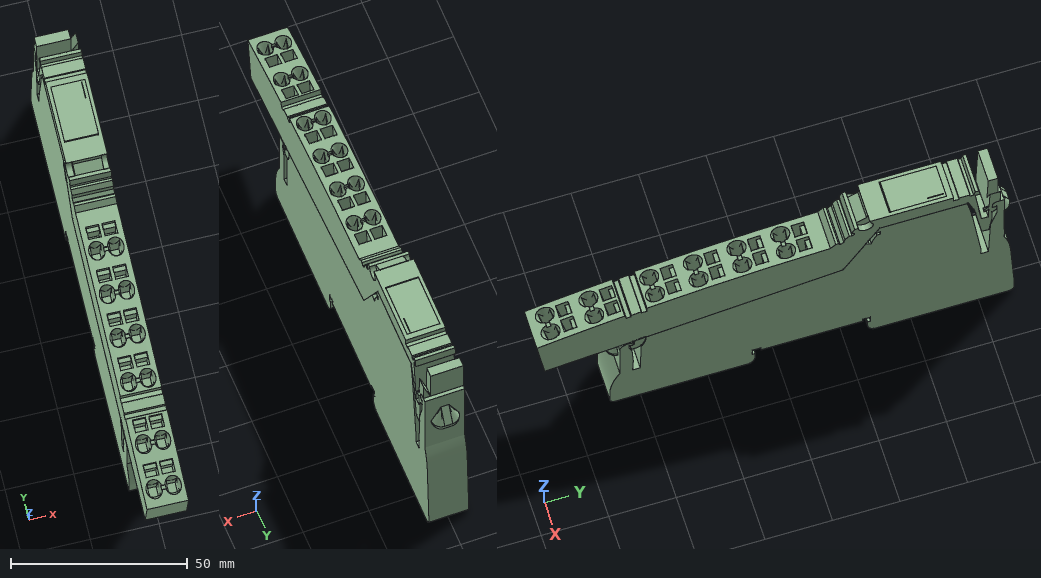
import cadquery as cq
import math


WIDTH = 12.15
LENGTH = 141.41
HEIGHT = 70.43
SIDE_PLANE = cq.Plane(origin=(0, 0, 0), xDir=(0, -1, 0), normal=(-1, 0, 0))

SEAM_TOP = 64.3
SEAM_REAR = (14.0, SEAM_TOP)
SEAM_CORNER = (39.9, SEAM_TOP)
SEAM_KNEE = (50.75, 43.9)
PLUG_NOSE_BOTTOM = (139.1, 32.3)
SEAM_SLOPE = (PLUG_NOSE_BOTTOM[1] - SEAM_KNEE[1]) / (PLUG_NOSE_BOTTOM[0] - SEAM_KNEE[0])

REAR_WALL = 3.0
FRONT_WALL = 116.8
FOOT_FRONT = 119.8
FOOT_ROUND = 2.0
RAIL_ROOF = 6.8
RAIL_GROOVE_ROOF = 8.1
RAIL_LIP = 5.6

REAR_HOOK_TOP = 60.1
REAR_HOOK_CREST = (5.2, REAR_HOOK_TOP)
REAR_HOOK_ROUND = (6.2, 59.5)
REAR_HOOK_NOSE = (6.55, 58.4)
REAR_HOOK_TIP = (6.55, 57.2)
REAR_HOOK_ROOT = (5.2, 57.2)

CATCH_START = 109.05
CATCH_ROUND = (109.5, 33.1)
CATCH_END = (110.5, 31.0)
CATCH_WIDTH = WIDTH - 0.6
CATCH_OVERLAP = 1.0

KNOB_RADIUS = 3.0
KNOB_FLAT_WIDTH = 2.4
KNOB_HEIGHT = 8.7
KNOB_WIDEST = 3.0
REAR_KNOB_BOTTOM = 45.9
FRONT_KNOB_BOTTOM = 23.4

FLAT_TOP_FRONT = 42.8
REAR_GROUP_END = 108.8
FRONT_GROUP_START = 115.4
FACE_START = (54.5, 60.1)
FACE_DROP = 0.0436
FACE_CURVE = 0.000994

LABEL_WIDTH = 9.9
LABEL_LENGTH = 16.6
LABEL_THICKNESS = 0.8
LABEL_REAR = 19.75
LABEL_GAP = 0.25
LABEL_GROOVE_X = 3.9
LABEL_GROOVE_WIDTH = 0.1
LABEL_GROOVE_LENGTH = 4.7
LABEL_GROOVE_DEPTH = 0.2
LABEL_GROOVE_MARGIN = 0.6

THUMB_RECESS_DEPTH = 1.9

LEVER_REAR = 4.15
LEVER_FRONT_TOP = 7.1
LEVER_FRONT_FOOT = 7.75
NOTCH_FLOOR = 51.9
LEVER_SIDE = 3.9
BEVEL_RISE = 6.0
BEVEL_REACH = 9.5
BARB_BEVEL_START = 53.0

FIRST_TERMINAL = 66.6
TERMINAL_PITCH = 12.93
REAR_TERMINALS = 4
GROUP_SPACING = 18.0
FRONT_TERMINALS = 2
WIRE_ENTRY_X = 2.75
WIRE_ENTRY_WIDTH = 4.6
WIRE_ENTRY_LENGTH = 5.5
WIRE_FUNNEL_DEPTH = 4.0
WIRE_HOLE_WIDTH = 3.0
WIRE_HOLE_LENGTH = 3.6
WIRE_HOLE_DEPTH = 11.0
WIRE_LINK_LENGTH = 1.2
WIRE_LINK_DEPTH = 1.0
TOOL_SLOT_X = 2.37
TOOL_SLOT_OFFSET = 5.55
TOOL_SLOT_WIDTH = 3.7
TOOL_SLOT_LENGTH = 3.7
TOOL_SLOT_DEPTH = 8.0
TOOL_LEDGE_LENGTH = 1.3
TOOL_LEDGE_DEPTH = 2.0
FACE_CLEARANCE = 1.0


def seam_height(forward):
    """Height of the sloping seam under the connector."""
    return SEAM_KNEE[1] + SEAM_SLOPE * (forward - SEAM_KNEE[0])


def rear_slope_point(height):
    """Point of the steep seam that drops from the connector's raised rear part."""
    fraction = (SEAM_TOP - height) / (SEAM_TOP - SEAM_KNEE[1])
    return (SEAM_CORNER[0] + fraction * (SEAM_KNEE[0] - SEAM_CORNER[0]), height)


def face_height(forward):
    """Height of the curved terminal face."""
    run = forward - FACE_START[0]
    return FACE_START[1] - FACE_DROP * run - FACE_CURVE * run ** 2


def face_slope_angle(forward):
    """Downward tilt of the terminal face, in degrees."""
    run = forward - FACE_START[0]
    return math.degrees(math.atan(FACE_DROP + 2 * FACE_CURVE * run))


def face_point(forward):
    return (forward, face_height(forward))


def seam_point(forward):
    return (forward, seam_height(forward))


def face_arc(outline, start, end):
    """Continue an outline along the terminal face from start to end."""
    return outline.threePointArc(face_point((start + end) / 2), face_point(end))


def full_width(outline):
    return outline.close().extrude(WIDTH / 2, both=True)


def knob(wall, bottom):
    """Teardrop knob: two rounded cones joined by a flat strip, half sunk in the wall."""
    bottom_edge = KNOB_RADIUS / 2
    run = KNOB_RADIUS - bottom_edge
    curve_radius = (run ** 2 + KNOB_WIDEST ** 2) / (2 * run)
    half_angle = math.asin(KNOB_WIDEST / curve_radius) / 2
    bulge_out = KNOB_RADIUS - curve_radius * (1 - math.cos(half_angle))
    bulge_up = KNOB_WIDEST - curve_radius * math.sin(half_angle)
    half = (
        cq.Workplane("XZ")
        .lineTo(bottom_edge, 0)
        .threePointArc((bulge_out, bulge_up), (KNOB_RADIUS, KNOB_WIDEST))
        .lineTo(0, KNOB_HEIGHT)
        .close()
    )
    cone = half.revolve(360, (0, 0, 0), (0, 1, 0))
    strip = (
        cq.Workplane(SIDE_PLANE)
        .moveTo(-bottom_edge, 0)
        .lineTo(bottom_edge, 0)
        .threePointArc((bulge_out, bulge_up), (KNOB_RADIUS, KNOB_WIDEST))
        .lineTo(0, KNOB_HEIGHT)
        .lineTo(-KNOB_RADIUS, KNOB_WIDEST)
        .threePointArc((-bulge_out, bulge_up), (-bottom_edge, 0))
        .close()
        .extrude(KNOB_FLAT_WIDTH / 2, both=True)
    )
    offset = KNOB_FLAT_WIDTH / 2
    whole = strip.union(cone.translate((-offset, 0, 0))).union(cone.translate((offset, 0, 0)))
    return whole.translate((0, -wall, bottom))


def make_housing():
    outline = (
        cq.Workplane(SIDE_PLANE)
        .moveTo(FOOT_ROUND, 0)
        .radiusArc((0, FOOT_ROUND), FOOT_ROUND)
        .lineTo(0, 5.0)
        .lineTo(1.1, 27.0)
        .tangentArcPoint((REAR_WALL, 36.0), relative=False)
        .lineTo(REAR_WALL, REAR_HOOK_TOP)
        .lineTo(*REAR_HOOK_CREST)
        .threePointArc(REAR_HOOK_ROUND, REAR_HOOK_NOSE)
        .lineTo(*REAR_HOOK_TIP)
        .lineTo(*REAR_HOOK_ROOT)
        .lineTo(5.2, 53.1)
        .lineTo(7.1, 46.5)
        .lineTo(7.7, 29.3)
        .lineTo(9.9, 29.3)
        .lineTo(9.9, 32.0)
        .lineTo(12.8, 58.0)
        .lineTo(*SEAM_REAR)
        .lineTo(*SEAM_CORNER)
        .lineTo(*rear_slope_point(61.7))
        .lineTo(39.6, 61.7)
        .lineTo(39.8, 60.3)
        .lineTo(40.7, 60.3)
        .lineTo(41.9, 57.8)
        .lineTo(42.4, 55.8)
        .lineTo(43.0, 55.8)
        .lineTo(*rear_slope_point(56.5))
        .lineTo(*SEAM_KNEE)
        .lineTo(*seam_point(CATCH_START))
        .threePointArc(CATCH_ROUND, CATCH_END)
        .lineTo(110.8, 17.3)
        .lineTo(113.0, 17.3)
        .lineTo(112.85, 23.0)
        .lineTo(113.2, 29.7)
        .lineTo(114.1, 32.3)
        .lineTo(114.1, 33.4)
        .lineTo(112.9, 33.4)
        .lineTo(112.9, 34.6)
        .threePointArc((115.0, 34.9), (FRONT_WALL, 32.0))
        .lineTo(FRONT_WALL, 17.4)
        .threePointArc((119.0, 12.2), (FOOT_FRONT, 6.5))
        .lineTo(FOOT_FRONT, FOOT_ROUND)
        .radiusArc((FOOT_FRONT - FOOT_ROUND, 0), FOOT_ROUND)
        .lineTo(78.4, 0)
        .threePointArc((77.2, 1.4), (76.7, 3.4))
        .lineTo(76.7, RAIL_LIP)
        .lineTo(77.6, RAIL_LIP)
        .lineTo(77.6, RAIL_GROOVE_ROOF)
        .lineTo(75.0, RAIL_GROOVE_ROOF)
        .lineTo(75.0, RAIL_ROOF)
        .lineTo(44.9, RAIL_ROOF)
        .lineTo(44.9, RAIL_GROOVE_ROOF)
        .lineTo(42.6, RAIL_GROOVE_ROOF)
        .lineTo(42.6, RAIL_LIP)
        .lineTo(43.5, RAIL_LIP)
        .lineTo(43.5, 3.4)
        .threePointArc((43.0, 1.4), (41.7, 0))
    )
    body = full_width(outline)
    body = body.union(knob(REAR_WALL, REAR_KNOB_BOTTOM))
    return body.union(knob(FRONT_WALL, FRONT_KNOB_BOTTOM))


def make_connector_blank():
    outline = (
        cq.Workplane(SIDE_PLANE)
        .moveTo(LEVER_REAR, REAR_HOOK_TOP)
        .lineTo(LEVER_REAR, HEIGHT)
        .lineTo(LEVER_FRONT_TOP, HEIGHT)
        .lineTo(LEVER_FRONT_FOOT, NOTCH_FLOOR)
        .lineTo(9.75, NOTCH_FLOOR)
        .lineTo(11.6, 68.1)
        .lineTo(10.1, 68.1)
        .lineTo(10.6, HEIGHT)
        .lineTo(11.6, HEIGHT)
        .lineTo(12.1, 68.6)
        .lineTo(13.1, 68.6)
        .lineTo(13.1, 69.4)
        .lineTo(16.4, 69.4)
        .lineTo(16.4, 68.6)
        .lineTo(18.0, 68.6)
        .lineTo(18.0, HEIGHT)
        .lineTo(FLAT_TOP_FRONT, HEIGHT)
        .lineTo(43.2, 69.5)
        .lineTo(46.2, 68.0)
        .lineTo(47.3, 68.0)
        .lineTo(48.2, 66.1)
        .lineTo(47.3, 65.1)
        .lineTo(48.1, 64.3)
        .lineTo(48.9, 64.6)
        .lineTo(50.2, 63.2)
        .lineTo(50.5, 61.6)
        .lineTo(51.6, 60.8)
        .lineTo(52.1, 61.7)
        .lineTo(52.9, 61.7)
        .lineTo(*FACE_START)
    )
    outline = face_arc(outline, FACE_START[0], REAR_GROUP_END)
    outline = (
        outline
        .lineTo(REAR_GROUP_END, 52.8)
        .lineTo(110.4, 52.8)
        .lineTo(110.4, 53.5)
        .lineTo(113.4, 53.0)
        .lineTo(113.6, 52.2)
        .lineTo(114.9, 52.0)
        .lineTo(*face_point(FRONT_GROUP_START))
    )
    outline = face_arc(outline, FRONT_GROUP_START, LENGTH)
    outline = (
        outline
        .lineTo(*PLUG_NOSE_BOTTOM)
        .lineTo(*SEAM_KNEE)
        .lineTo(*SEAM_CORNER)
        .lineTo(*SEAM_REAR)
        .lineTo(13.6, SEAM_TOP)
        .lineTo(11.7, 57.9)
        .lineTo(10.3, 47.8)
        .lineTo(9.7, 43.7)
        .lineTo(7.5, 43.5)
        .lineTo(7.2, 46.5)
        .lineTo(6.7, 49.9)
        .lineTo(6.7, 54.15)
        .lineTo(5.2, 55.5)
        .lineTo(*REAR_HOOK_ROOT)
        .lineTo(*REAR_HOOK_TIP)
        .lineTo(*REAR_HOOK_NOSE)
        .threePointArc(REAR_HOOK_ROUND, REAR_HOOK_CREST)
    )
    return full_width(outline)


def front_catch():
    """Hook under the connector, slightly narrower than the connector itself."""
    catch_front = 112.2
    start = seam_point(CATCH_START)
    front = seam_point(catch_front)
    return (
        cq.Workplane(SIDE_PLANE)
        .moveTo(CATCH_START, start[1] + CATCH_OVERLAP)
        .lineTo(catch_front, front[1] + CATCH_OVERLAP)
        .lineTo(*front)
        .lineTo(112.5, 32.9)
        .lineTo(113.9, 32.9)
        .lineTo(113.4, 30.5)
        .threePointArc((112.0, 30.3), CATCH_END)
        .threePointArc(CATCH_ROUND, start)
        .close()
        .extrude(CATCH_WIDTH / 2, both=True)
    )


def label_block(length, thickness):
    """Block under the flat top, measured forward from the label's rear edge."""
    return (
        cq.Workplane("XY")
        .box(LABEL_WIDTH, length, thickness, centered=(True, False, False))
        .translate((0, -LABEL_REAR - length, HEIGHT - thickness))
    )


def make_label_plate():
    """Flush label plate with a fine index groove near its rear corner."""
    plate = label_block(LABEL_LENGTH, LABEL_THICKNESS)
    groove_centre = LABEL_REAR + LABEL_GROOVE_MARGIN + LABEL_GROOVE_LENGTH / 2
    groove = (
        cq.Workplane("XY")
        .box(LABEL_GROOVE_WIDTH, LABEL_GROOVE_LENGTH, 2 * LABEL_GROOVE_DEPTH)
        .translate((LABEL_GROOVE_X, -groove_centre, HEIGHT))
    )
    return plate.cut(groove)


def above_bevel(start_height):
    """Space beside the lever, above a bevel that rises from start_height towards +X."""
    return (
        cq.Workplane("XZ")
        .moveTo(LEVER_SIDE, start_height)
        .lineTo(WIDTH / 2, start_height + BEVEL_RISE)
        .lineTo(WIDTH / 2, HEIGHT)
        .lineTo(LEVER_SIDE, HEIGHT)
        .close()
        .extrude(BEVEL_REACH)
    )


def lever_barb():
    """Hooked barb on the front of the lever, on the +X side only."""
    barb = (
        cq.Workplane(SIDE_PLANE)
        .moveTo(7.2, 58.8)
        .lineTo(7.6, 58.4)
        .lineTo(9.0, 57.0)
        .lineTo(9.0, 55.8)
        .lineTo(7.6, 56.6)
        .lineTo(7.2, 56.6)
        .close()
        .extrude(LEVER_SIDE - WIDTH / 2)
        .translate((LEVER_SIDE, 0, 0))
    )
    return barb.cut(above_bevel(BARB_BEVEL_START))


def thumb_recesses():
    """D-shaped pocket in each side of the connector, at the front end of the flat top."""
    recess = (
        cq.Workplane(SIDE_PLANE)
        .moveTo(FLAT_TOP_FRONT, HEIGHT)
        .lineTo(41.8, 68.0)
        .threePointArc((43.9, 65.6), (46.2, 68.0))
        .lineTo(46.2, HEIGHT)
        .close()
        .extrude(THUMB_RECESS_DEPTH)
        .translate((THUMB_RECESS_DEPTH - WIDTH / 2, 0, 0))
    )
    return recess.union(recess.mirror("YZ"))


def terminal_cutter():
    """Wire entries and tool slots of one terminal pair; the face is at Z = 0."""
    cutter = cq.Workplane("XY").box(
        2 * WIRE_ENTRY_X, WIRE_LINK_LENGTH, 2 * WIRE_LINK_DEPTH
    )
    shaft_offset = TOOL_SLOT_OFFSET - TOOL_LEDGE_LENGTH / 2
    for side in (-1, 1):
        funnel = (
            cq.Workplane("XY", origin=(side * WIRE_ENTRY_X, 0, 0))
            .ellipse(WIRE_ENTRY_WIDTH / 2, WIRE_ENTRY_LENGTH / 2)
            .workplane(offset=-WIRE_FUNNEL_DEPTH)
            .ellipse(WIRE_HOLE_WIDTH / 2, WIRE_HOLE_LENGTH / 2)
            .loft()
        )
        mouth = (
            cq.Workplane("XY", origin=(side * WIRE_ENTRY_X, 0, 0))
            .ellipse(WIRE_ENTRY_WIDTH / 2, WIRE_ENTRY_LENGTH / 2)
            .extrude(FACE_CLEARANCE)
        )
        hole = (
            cq.Workplane("XY", origin=(side * WIRE_ENTRY_X, 0, 0))
            .rect(WIRE_HOLE_WIDTH, WIRE_HOLE_LENGTH)
            .extrude(-WIRE_HOLE_DEPTH)
        )
        slot = (
            cq.Workplane("XY", origin=(side * TOOL_SLOT_X, TOOL_SLOT_OFFSET, FACE_CLEARANCE))
            .rect(TOOL_SLOT_WIDTH, TOOL_SLOT_LENGTH)
            .extrude(-FACE_CLEARANCE - TOOL_LEDGE_DEPTH)
        )
        shaft = (
            cq.Workplane("XY", origin=(side * TOOL_SLOT_X, shaft_offset, 0))
            .rect(TOOL_SLOT_WIDTH, TOOL_SLOT_LENGTH - TOOL_LEDGE_LENGTH)
            .extrude(-TOOL_SLOT_DEPTH)
        )
        for shape in (funnel, mouth, hole, slot, shaft):
            cutter = cutter.union(shape)
    return cutter


def terminal_positions():
    last_rear = FIRST_TERMINAL + (REAR_TERMINALS - 1) * TERMINAL_PITCH
    rear = [FIRST_TERMINAL + i * TERMINAL_PITCH for i in range(REAR_TERMINALS)]
    front = [last_rear + GROUP_SPACING + i * TERMINAL_PITCH for i in range(FRONT_TERMINALS)]
    return rear + front


def make_connector():
    body = make_connector_blank().union(front_catch())
    body = body.cut(label_block(LABEL_LENGTH + LABEL_GAP, LABEL_THICKNESS))
    body = body.cut(thumb_recesses())
    body = body.cut(above_bevel(REAR_HOOK_TOP)).union(lever_barb())
    cutter = terminal_cutter()
    for forward in terminal_positions():
        placed = cutter.rotate((0, 0, 0), (1, 0, 0), face_slope_angle(forward))
        body = body.cut(placed.translate((0, -forward, face_height(forward))))
    return body


housing = make_housing()
connector = make_connector()
label_plate = make_label_plate()

result = cq.Compound.makeCompound([housing.val(), connector.val(), label_plate.val()])